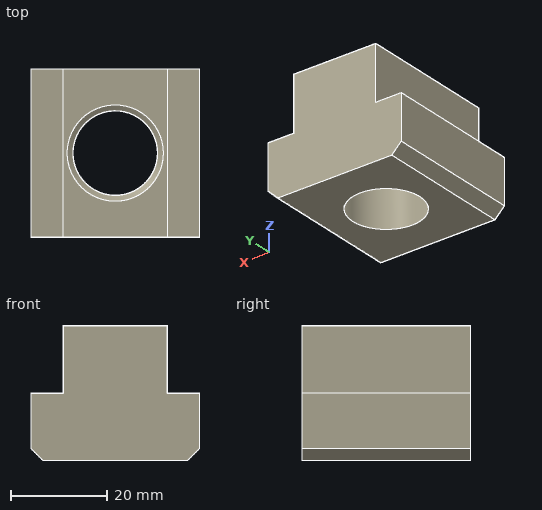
import cadquery as cq
import math

length = 35.0
base_width = 35.0
total_height = 28.0

stem_width = 21.6
base_height = total_height / 2
bottom_chamfer = 2.5

hole_diameter = 17.5
countersink_diameter = 20.0
countersink_angle = 120.0


def t_slot_body():
    """T-shaped prism along Y, with its bottom side edges chamfered."""
    base = cq.Workplane("XY").box(base_width, length, base_height, centered=(True, True, False))
    base = base.faces("<Z").edges("|Y").chamfer(bottom_chamfer)
    stem = cq.Workplane("XY").box(stem_width, length, total_height, centered=(True, True, False))
    return base.union(stem)


def countersunk_hole():
    """Vertical through-hole tool with a conical entry at the top."""
    hole_radius = hole_diameter / 2
    countersink_radius = countersink_diameter / 2
    countersink_depth = (countersink_radius - hole_radius) / math.tan(math.radians(countersink_angle / 2))
    return (
        cq.Workplane("XZ")
        .moveTo(0, 0)
        .lineTo(hole_radius, 0)
        .lineTo(hole_radius, total_height - countersink_depth)
        .lineTo(countersink_radius, total_height)
        .lineTo(0, total_height)
        .close()
        .revolve(360, (0, 0, 0), (0, 1, 0))
    )


result = t_slot_body().cut(countersunk_hole())